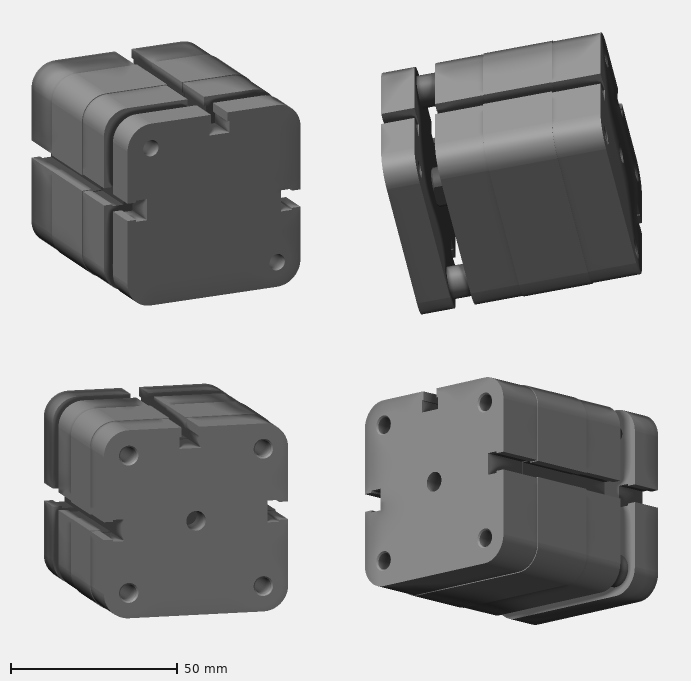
import cadquery as cq

cap_length = 14.9
barrel_length = 21.1
rod_gap = 6.35
total_length = 67.5
barrel_start = cap_length
front_cap_start = barrel_start + barrel_length
housing_length = front_cap_start + cap_length
plate_start = housing_length + rod_gap
plate_thickness = total_length - plate_start

barrel_width = 58.0
barrel_step = 0.25
cap_width = barrel_width - 2 * barrel_step
corner_pitch = 42.0
half_pitch = corner_pitch / 2

slot_offset = 1.75
slot_mouth_width = 5.5
slot_undercut_width = 6.7
slot_lip = 2.85
slot_depth = 6.5
slot_angles = (0, 90, -90)

corner_hole_diameter = 5.1
corner_hole_mouth_diameter = 6.1
centre_hole_diameter = 6.1
centre_hole_depth = 10.0

guide_rod_diameter = 10.0
piston_rod_diameter = 12.0
piston_rod_chamfer = 0.5
flat_spacing = 10.0
flat_start = 1.3

guided_corners = [(-half_pitch, -half_pitch), (half_pitch, half_pitch)]
open_corners = [(-half_pitch, half_pitch), (half_pitch, -half_pitch)]
all_corners = guided_corners + open_corners


def plane_at(x):
    """Sketch plane across the axis: local x is Y, local y is Z, extruding toward +X."""
    return cq.Workplane("YZ", origin=(x, 0, 0))


def t_slot(x, length, step):
    """T-slot cutter for the top side, with its walls moved inward by the step."""
    cap_top = cap_width / 2
    slot_top = barrel_width / 2
    floor = cap_top - slot_depth + step
    lip_bottom = cap_top - slot_lip - step
    mouth = (
        plane_at(x)
        .center(slot_offset, (floor + slot_top) / 2)
        .rect(slot_mouth_width - 2 * step, slot_top - floor)
        .extrude(length)
    )
    undercut = (
        plane_at(x)
        .center(slot_offset, (floor + lip_bottom) / 2)
        .rect(slot_undercut_width - 2 * step, lip_bottom - floor)
        .extrude(length)
    )
    return mouth.union(undercut)


def slotted_section(x, length, step=0):
    """Rounded square block with T-slots on three sides, enlarged all round by the step."""
    width = cap_width + 2 * step
    corner_radius = (width - corner_pitch) / 2
    block = plane_at(x).rect(width, width).extrude(length).edges("|X").fillet(corner_radius)
    slot = t_slot(x, length, step)
    for angle in slot_angles:
        block = block.cut(slot.rotate((0, 0, 0), (1, 0, 0), angle))
    return block


def corner_holes(x, length, corners):
    return plane_at(x).pushPoints(corners).circle(corner_hole_diameter / 2).extrude(length)


def hole_mouth(y, z):
    """Conical countersink that opens a corner hole at the rear face."""
    mouth_radius = corner_hole_mouth_diameter / 2
    hole_radius = corner_hole_diameter / 2
    cone = cq.Solid.makeCone(
        mouth_radius, hole_radius, mouth_radius - hole_radius, cq.Vector(0, y, z), cq.Vector(1, 0, 0)
    )
    return cq.Workplane(cone)


def make_housing():
    """Rear cap, barrel and front cap in one piece, with four through holes and a blind centre hole."""
    housing = slotted_section(0, cap_length)
    housing = housing.union(slotted_section(barrel_start, barrel_length, barrel_step))
    housing = housing.union(slotted_section(front_cap_start, cap_length))
    housing = housing.cut(corner_holes(0, housing_length, all_corners))
    for y, z in all_corners:
        housing = housing.cut(hole_mouth(y, z))
    return housing.cut(plane_at(0).circle(centre_hole_diameter / 2).extrude(centre_hole_depth))


def make_end_plate():
    plate = slotted_section(plate_start, plate_thickness)
    return plate.cut(corner_holes(plate_start, plate_thickness, open_corners))


def make_guide_rod(y, z):
    """Plain round rod between the housing and the end plate."""
    return plane_at(housing_length).center(y, z).circle(guide_rod_diameter / 2).extrude(rod_gap)


def make_piston_rod():
    """Rod end between housing and end plate, with spanner flats on its top and bottom."""
    rod = plane_at(housing_length).circle(piston_rod_diameter / 2).extrude(rod_gap)
    rod = rod.faces(">X").chamfer(piston_rod_chamfer)
    flat_length = rod_gap - flat_start
    flatted_envelope = (
        plane_at(housing_length + flat_start)
        .rect(piston_rod_diameter, flat_spacing)
        .extrude(flat_length)
    )
    collar_envelope = (
        plane_at(housing_length)
        .rect(piston_rod_diameter, piston_rod_diameter)
        .extrude(flat_start)
    )
    return rod.intersect(collar_envelope.union(flatted_envelope))


housing = make_housing()
end_plate = make_end_plate()
piston_rod = make_piston_rod()
guide_rods = [make_guide_rod(y, z) for y, z in guided_corners]

result = cq.Compound.makeCompound(
    [housing.val(), end_plate.val(), piston_rod.val(), *[rod.val() for rod in guide_rods]]
)